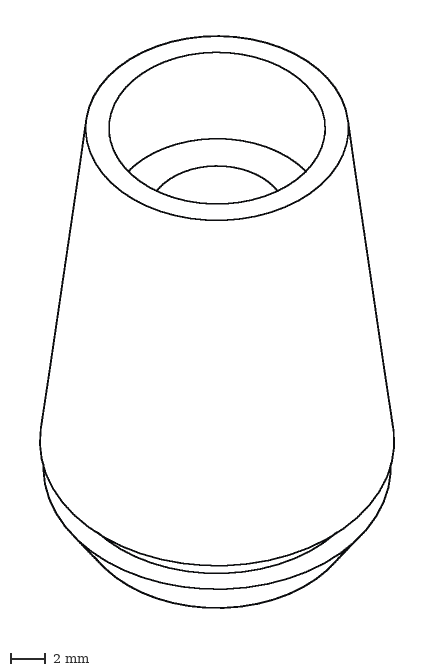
import cadquery as cq

overall_length = 31.0
groove_bottom = 3.5
groove_top = 5.6
counterbore_depth = 7.0

nose_face_diameter = 16.1
nose_rim_diameter = 20.1
groove_diameter = 17.5
taper_large_diameter = 20.5
taper_small_diameter = 15.2
bore_diameter = 8.0
counterbore_diameter = 12.5


def revolved_body():
    """Solid of revolution about Z: flared nose, groove and tapered shank."""
    return (
        cq.Workplane("YZ")
        .lineTo(nose_face_diameter / 2, 0)
        .lineTo(nose_rim_diameter / 2, groove_bottom)
        .lineTo(groove_diameter / 2, groove_bottom)
        .lineTo(groove_diameter / 2, groove_top)
        .lineTo(taper_large_diameter / 2, groove_top)
        .lineTo(taper_small_diameter / 2, overall_length)
        .lineTo(0, overall_length)
        .close()
        .revolve(360, (0, 0), (0, 1))
    )


def stepped_bore():
    """Through bore with a wider counterbore entering from the small end."""
    bore = cq.Workplane("XY").circle(bore_diameter / 2).extrude(overall_length)
    counterbore = (
        cq.Workplane("XY", origin=(0, 0, overall_length - counterbore_depth))
        .circle(counterbore_diameter / 2)
        .extrude(counterbore_depth)
    )
    return bore.union(counterbore)


result = revolved_body().cut(stepped_bore())